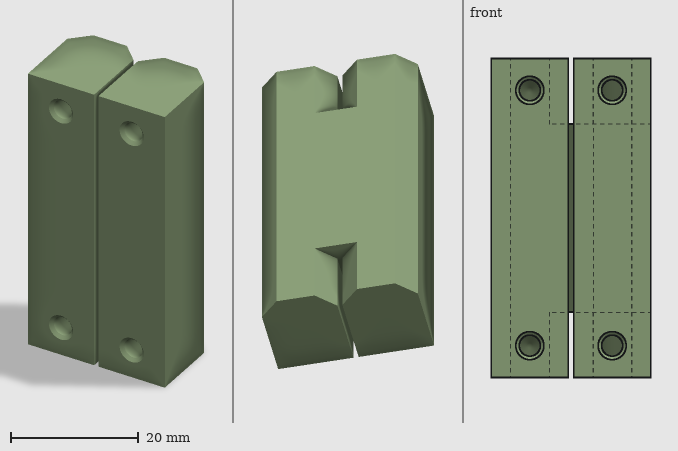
import cadquery as cq
import math

WIDTH = 25.0
THICKNESS = 15.0
LENGTH = 50.0
LEAF_GAP = 0.8
CORNER_CHAMFER = 3.0
LEAF_WIDTH = (WIDTH - LEAF_GAP) / 2
RIGHT_LEAF_X = LEAF_WIDTH + LEAF_GAP

PIN_DIAMETER = 6.0
PIN_X = RIGHT_LEAF_X + LEAF_WIDTH / 2
PIN_Y = 9.0

KNUCKLE_LENGTH = 29.5
KNUCKLE_FRONT_Y = 3.0
KNUCKLE_Z = (LENGTH - KNUCKLE_LENGTH) / 2

HOLE_DIAMETER = 3.3
HOLE_MOUTH_DIAMETER = 4.4
HOLE_DEPTH = 8.0
HOLE_END_INSET = 5.0
DRILL_POINT_ANGLE = 118.0
HOLE_HEIGHTS = (HOLE_END_INSET, LENGTH - HOLE_END_INSET)


def leaf_block(left_x):
    """Full-length bar with both rear corners chamfered."""
    return (
        cq.Workplane("XY")
        .box(LEAF_WIDTH, THICKNESS, LENGTH, centered=False)
        .edges("|Z and >Y")
        .chamfer(CORNER_CHAMFER)
        .translate((left_x, 0, 0))
    )


def screw_holes(center_x):
    """Cutters for the countersunk, drill-pointed holes of one leaf."""
    radius = HOLE_DIAMETER / 2
    mouth_radius = HOLE_MOUTH_DIAMETER / 2
    countersink_depth = mouth_radius - radius
    tip_y = HOLE_DEPTH + radius / math.tan(math.radians(DRILL_POINT_ANGLE / 2))
    cutter = (
        cq.Workplane("XY")
        .polyline([
            (0, 0),
            (mouth_radius, 0),
            (radius, countersink_depth),
            (radius, HOLE_DEPTH),
            (0, tip_y),
        ])
        .close()
        .revolve(360, (0, 0, 0), (0, 1, 0))
    )
    holes = cq.Workplane("XY")
    for height in HOLE_HEIGHTS:
        holes = holes.add(cutter.translate((center_x, 0, height)))
    return holes.combine()


def knuckle_space():
    """Box around the knuckle, from the left leaf's inner face to the right leaf's outer face."""
    return (
        cq.Workplane("XY")
        .box(WIDTH - LEAF_WIDTH, THICKNESS - KNUCKLE_FRONT_Y, KNUCKLE_LENGTH, centered=False)
        .translate((LEAF_WIDTH, KNUCKLE_FRONT_Y, KNUCKLE_Z))
    )


def make_pin():
    """Plain round pin, flush with both ends of the right leaf."""
    return cq.Workplane("XY").center(PIN_X, PIN_Y).circle(PIN_DIAMETER / 2).extrude(LENGTH)


def make_left_leaf(pin):
    """Leaf whose knuckle bridges the gap and wraps the pin, with its outer rear corner chamfered."""
    knuckle = knuckle_space().edges("|Z and >X and >Y").chamfer(CORNER_CHAMFER)
    bridge = (
        cq.Workplane("XY")
        .box(LEAF_WIDTH / 2, THICKNESS - KNUCKLE_FRONT_Y, KNUCKLE_LENGTH, centered=False)
        .translate((LEAF_WIDTH / 2, KNUCKLE_FRONT_Y, KNUCKLE_Z))
    )
    leaf = leaf_block(0).union(bridge).union(knuckle)
    return leaf.cut(screw_holes(LEAF_WIDTH / 2)).cut(pin)


def make_right_leaf(pin):
    """Leaf with a rear notch for the knuckle; its screw holes stop at the pin."""
    leaf = leaf_block(RIGHT_LEAF_X).cut(knuckle_space())
    return leaf.cut(screw_holes(PIN_X)).cut(pin)


hinge_pin = make_pin()
left_leaf = make_left_leaf(hinge_pin)
right_leaf = make_right_leaf(hinge_pin)

result = cq.Compound.makeCompound([left_leaf.val(), right_leaf.val(), hinge_pin.val()])